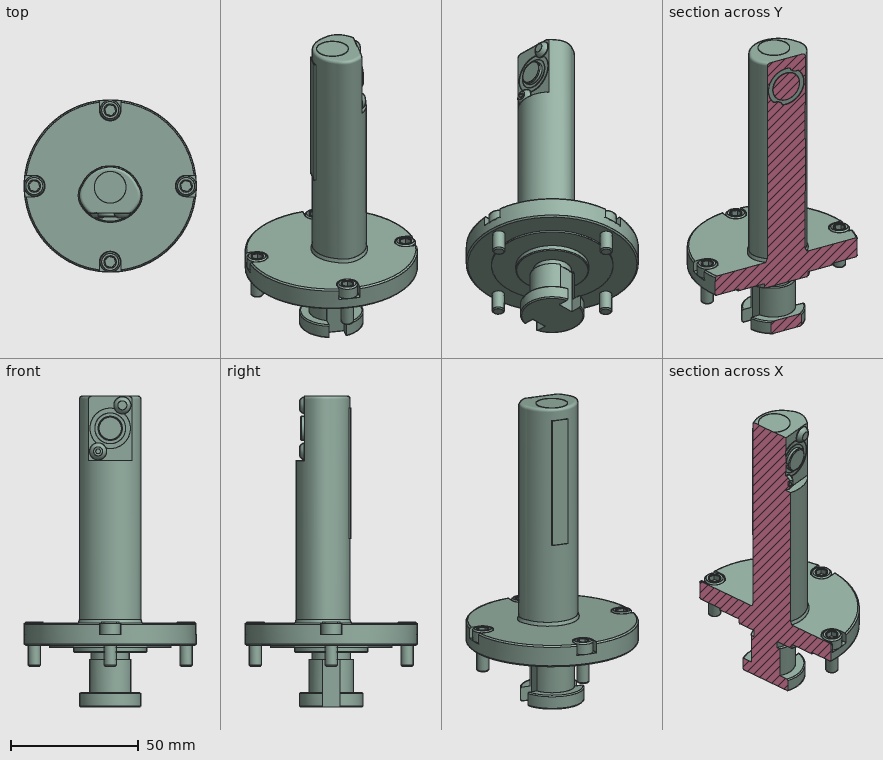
import cadquery as cq
import math

TOTAL_HEIGHT = 121.7
FOOT_TOP = 5.7
SPIGOT_TOP = 18.6
NECK_TOP = 21.3
COLLAR_TOP = 23.4
FLANGE_BOTTOM = 24.1
FLANGE_TOP = 32.9

FOOT_DIAMETER = 25.0
SPIGOT_DIAMETER = 17.5
NECK_DIAMETER = 15.1
COLLAR_DIAMETER = 28.6
STEP_DIAMETER = 47.6
FLANGE_DIAMETER = 67.4
FOOT_CHAMFER = 0.5
COLLAR_CHAMFER = 0.4
FLANGE_CHAMFER = 0.6

SLOT_WIDTH = 6.9
SLOT_FLOOR_X = 7.3

SCREW_COUNT = 4
SCREW_CIRCLE_RADIUS = 29.7
POCKET_WIDTH = 8.4
POCKET_FLOOR = 28.5
HEAD_DIAMETER = 7.9
HEAD_TOP = FLANGE_TOP + 0.4
HEAD_CHAMFER = 0.6
SHANK_DIAMETER = 4.9
SHANK_BOTTOM = 16.0
SHANK_CHAMFER = 0.5
SOCKET_RIM_DIAMETER = 4.9
SOCKET_RIM_DEPTH = 0.2
SOCKET_CORNERS = 4.5
SOCKET_ANGLE = 45.0
SOCKET_DEPTH = 2.4

TOWER_BACK_Y = 7.4
TOWER_FRONT_Y = -13.7
TOWER_HALF_WIDTH = 12.0
CORNER_X = 10.8
CORNER_BACK_Y = 0.2
CORNER_FRONT_Y = -7.7
TOWER_FILLET = 1.2
FLARE_HEIGHT = 1.5
FLARE_WIDTH = 0.5

TOP_RECESS_DIAMETER = 12.4
TOP_RECESS_Y = -0.5
TOP_RECESS_DEPTH = 0.1
STRIP_WIDTH = 6.7
STRIP_BOTTOM = 66.0
STRIP_TOP = 117.0
STRIP_PROUD = 0.2

FLAT_Y = -10.5
FLAT_BOTTOM = 96.4
WINDOW_Z = 109.0
BEZEL_DIAMETER = 15.8
BEZEL_RECESS = 0.2
RING_DIAMETER = 12.0
LENS_DIAMETER = 9.5
LENS_PROUD = 1.6
LENS_CHAMFER = 0.4
BUTTON_OFFSET_X = 4.7
BUTTON_OFFSET_Z = 9.0
BUTTON_DIAMETER = 6.7
BUTTON_TIP_DIAMETER = 3.5
BUTTON_PROUD = 2.0
BUTTON_RIM = 0.2
BUTTON_DOME_RADIUS = 2.8
BUTTON_DOME_HEIGHT = 1.15
BUTTON_SOCKET_CORNERS = 2.1
BUTTON_SOCKET_DEPTH = 1.0

OVERLAP = 1.2


def cylinder(diameter, bottom, top, x=0.0, y=0.0):
    return cq.Workplane("XY", origin=(x, y, bottom)).circle(diameter / 2).extrude(top - bottom)


def front_plane(y=FLAT_Y, z=WINDOW_Z):
    """Workplane facing -Y, so that extrusions stand out from the front flat."""
    return cq.Workplane("XZ", origin=(0, y, z))


def make_base():
    foot = cylinder(FOOT_DIAMETER, 0, FOOT_TOP).edges().chamfer(FOOT_CHAMFER)
    spigot = cylinder(SPIGOT_DIAMETER, FOOT_TOP - OVERLAP, SPIGOT_TOP)
    slotted = foot.union(spigot)
    slot_depth = FOOT_DIAMETER / 2 - SLOT_FLOOR_X
    for side in (-1, 1):
        slot = cq.Workplane("XY").box(slot_depth, SLOT_WIDTH, SPIGOT_TOP, centered=(True, True, False))
        slotted = slotted.cut(slot.translate((side * (SLOT_FLOOR_X + slot_depth / 2), 0, 0)))

    neck = cylinder(NECK_DIAMETER, SPIGOT_TOP, NECK_TOP)
    collar = cylinder(COLLAR_DIAMETER, NECK_TOP, COLLAR_TOP).faces("<Z").edges().chamfer(COLLAR_CHAMFER)
    step = cylinder(STEP_DIAMETER, COLLAR_TOP, FLANGE_BOTTOM)
    flange = cylinder(FLANGE_DIAMETER, FLANGE_BOTTOM, FLANGE_TOP).edges().chamfer(FLANGE_CHAMFER)
    return slotted.union(neck).union(collar).union(step).union(flange)


def make_pocket():
    """Round-ended pocket, open to the +X rim of the flange."""
    open_length = FLANGE_DIAMETER / 2 - SCREW_CIRCLE_RADIUS + OVERLAP
    depth = FLANGE_TOP - POCKET_FLOOR
    round_end = cylinder(POCKET_WIDTH, POCKET_FLOOR, FLANGE_TOP, x=SCREW_CIRCLE_RADIUS)
    opening = cq.Workplane("XY").box(open_length, POCKET_WIDTH, depth, centered=(False, True, False))
    return round_end.union(opening.translate((SCREW_CIRCLE_RADIUS, 0, POCKET_FLOOR)))


def make_flange_screw():
    shank = cylinder(SHANK_DIAMETER, SHANK_BOTTOM, POCKET_FLOOR).faces("<Z").chamfer(SHANK_CHAMFER)
    head = cylinder(HEAD_DIAMETER, POCKET_FLOOR, HEAD_TOP).faces(">Z").chamfer(HEAD_CHAMFER)
    socket = (
        cq.Workplane("XY", origin=(0, 0, HEAD_TOP - SOCKET_DEPTH))
        .polygon(6, SOCKET_CORNERS)
        .extrude(SOCKET_DEPTH)
    )
    socket = socket.rotate((0, 0, 0), (0, 0, 1), SOCKET_ANGLE)
    rim = cylinder(SOCKET_RIM_DIAMETER, HEAD_TOP - SOCKET_RIM_DEPTH, HEAD_TOP)
    return shank.union(head).cut(socket).cut(rim)


def tower_section(z):
    side_y = (CORNER_BACK_Y + CORNER_FRONT_Y) / 2
    return (
        cq.Workplane("XY", origin=(0, 0, z))
        .moveTo(-CORNER_X, CORNER_BACK_Y)
        .threePointArc((0, TOWER_BACK_Y), (CORNER_X, CORNER_BACK_Y))
        .threePointArc((TOWER_HALF_WIDTH, side_y), (CORNER_X, CORNER_FRONT_Y))
        .threePointArc((0, TOWER_FRONT_Y), (-CORNER_X, CORNER_FRONT_Y))
        .threePointArc((-TOWER_HALF_WIDTH, side_y), (-CORNER_X, CORNER_BACK_Y))
        .close()
    )


def make_tower():
    tower = tower_section(FLANGE_TOP - OVERLAP).extrude(TOTAL_HEIGHT - FLANGE_TOP + OVERLAP)
    tower = tower.faces(">Z").edges().fillet(TOWER_FILLET)

    flare_base = tower_section(FLANGE_TOP).offset2D(FLARE_WIDTH)
    flare_taper = math.degrees(math.atan2(FLARE_WIDTH, FLARE_HEIGHT))
    tower = tower.union(flare_base.extrude(FLARE_HEIGHT, taper=flare_taper))

    top_recess = cylinder(TOP_RECESS_DIAMETER, TOTAL_HEIGHT - TOP_RECESS_DEPTH, TOTAL_HEIGHT, y=TOP_RECESS_Y)
    tower = tower.cut(top_recess)

    strip_reach = TOWER_BACK_Y + STRIP_PROUD
    strip_height = STRIP_TOP - STRIP_BOTTOM
    strip = (
        cq.Workplane("XY")
        .box(STRIP_WIDTH, strip_reach, strip_height, centered=(True, False, False))
        .translate((0, 0, STRIP_BOTTOM))
    )

    flat_depth = FLAT_Y - TOWER_FRONT_Y
    flat_height = TOTAL_HEIGHT - FLAT_BOTTOM
    flat = (
        cq.Workplane("XY")
        .box(2 * TOWER_HALF_WIDTH, flat_depth, flat_height, centered=(True, False, False))
        .translate((0, TOWER_FRONT_Y, FLAT_BOTTOM))
    )
    return tower.union(strip).cut(flat)


def make_window_recess():
    return (
        front_plane()
        .circle(BEZEL_DIAMETER / 2)
        .circle(RING_DIAMETER / 2)
        .extrude(-BEZEL_RECESS)
    )


def make_lens():
    lens = front_plane(y=FLAT_Y + OVERLAP).circle(LENS_DIAMETER / 2).extrude(LENS_PROUD + OVERLAP)
    return lens.faces("<Y").chamfer(LENS_CHAMFER)


def make_button(side):
    """Domed screw head on the flat; the lower one shows an open hex socket."""
    tip_radius = BUTTON_TIP_DIAMETER / 2
    rim_radius = BUTTON_DIAMETER / 2
    button = (
        cq.Workplane("XY")
        .moveTo(0, OVERLAP)
        .lineTo(rim_radius, OVERLAP)
        .lineTo(rim_radius, -BUTTON_RIM)
        .threePointArc((BUTTON_DOME_RADIUS, -BUTTON_DOME_HEIGHT), (tip_radius, -BUTTON_PROUD))
        .lineTo(0, -BUTTON_PROUD)
        .close()
        .revolve(360, (0, 0, 0), (0, 1, 0))
    )
    if side < 0:
        socket = front_plane(y=-BUTTON_PROUD, z=0).polygon(6, BUTTON_SOCKET_CORNERS)
        button = button.cut(socket.extrude(-BUTTON_SOCKET_DEPTH))
    return button.translate((side * BUTTON_OFFSET_X, FLAT_Y, WINDOW_Z + side * BUTTON_OFFSET_Z))


result = make_base()
for index in range(SCREW_COUNT):
    angle = index * 360 / SCREW_COUNT
    screw_x = SCREW_CIRCLE_RADIUS * math.cos(math.radians(angle))
    screw_y = SCREW_CIRCLE_RADIUS * math.sin(math.radians(angle))
    result = result.cut(make_pocket().rotate((0, 0, 0), (0, 0, 1), angle))
    result = result.union(make_flange_screw().translate((screw_x, screw_y, 0)))

result = result.union(make_tower())
result = result.cut(make_window_recess()).union(make_lens())
for side in (-1, 1):
    result = result.union(make_button(side))